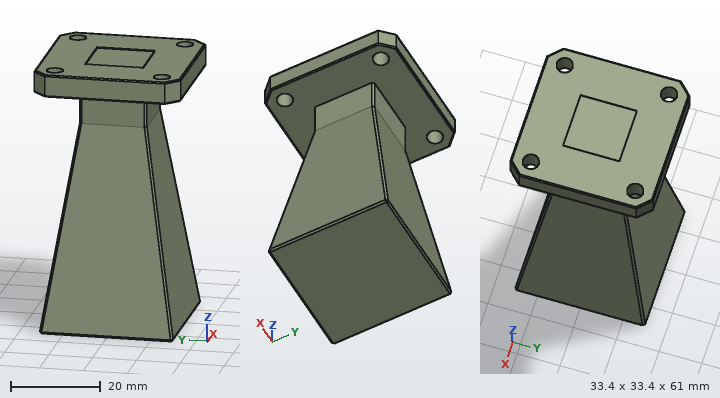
import cadquery as cq

total_height = 60.95

flange_width = 33.35
flange_thickness = 5.1
flange_corner_cut = 3.0
flange_edge_chamfer = 0.3

hole_diameter = 3.65
hole_spacing_x = 25.25
hole_spacing_y = 24.4

recess_width = 13.15
recess_depth = 0.25

neck_width = 15.3
neck_bottom_z = 47.4
mouth_width = 30.55
horn_edge_chamfer = 0.5

flange_bottom_z = total_height - flange_thickness


def make_flange():
    """Square plate with cut corners and lightly broken edges."""
    plate = (
        cq.Workplane("XY", origin=(0, 0, flange_bottom_z))
        .rect(flange_width, flange_width)
        .extrude(flange_thickness)
        .edges("|Z")
        .chamfer(flange_corner_cut)
    )
    return plate.faces("<Z or >Z").edges().chamfer(flange_edge_chamfer)


def make_neck():
    """Straight square neck, run up to the underside of the flange."""
    return (
        cq.Workplane("XY", origin=(0, 0, neck_bottom_z))
        .rect(neck_width, neck_width)
        .extrude(flange_bottom_z - neck_bottom_z)
        .edges("|Z")
        .chamfer(horn_edge_chamfer)
    )


def make_horn():
    """Square horn flaring from the neck to the mouth, with chamfered edges."""
    horn = (
        cq.Workplane("XY")
        .rect(mouth_width, mouth_width)
        .workplane(offset=neck_bottom_z)
        .rect(neck_width, neck_width)
        .loft(ruled=True)
    )
    horn = horn.edges("not #Z").chamfer(horn_edge_chamfer)
    return horn.faces("<Z").edges().chamfer(horn_edge_chamfer)


def make_mounting_holes():
    return (
        cq.Workplane("XY", origin=(0, 0, flange_bottom_z))
        .rect(hole_spacing_x, hole_spacing_y, forConstruction=True)
        .vertices()
        .circle(hole_diameter / 2)
        .extrude(flange_thickness)
    )


def make_recess():
    return (
        cq.Workplane("XY", origin=(0, 0, total_height))
        .rect(recess_width, recess_width)
        .extrude(-recess_depth)
    )


flange = make_flange().cut(make_mounting_holes()).cut(make_recess())
result = flange.union(make_neck()).union(make_horn())